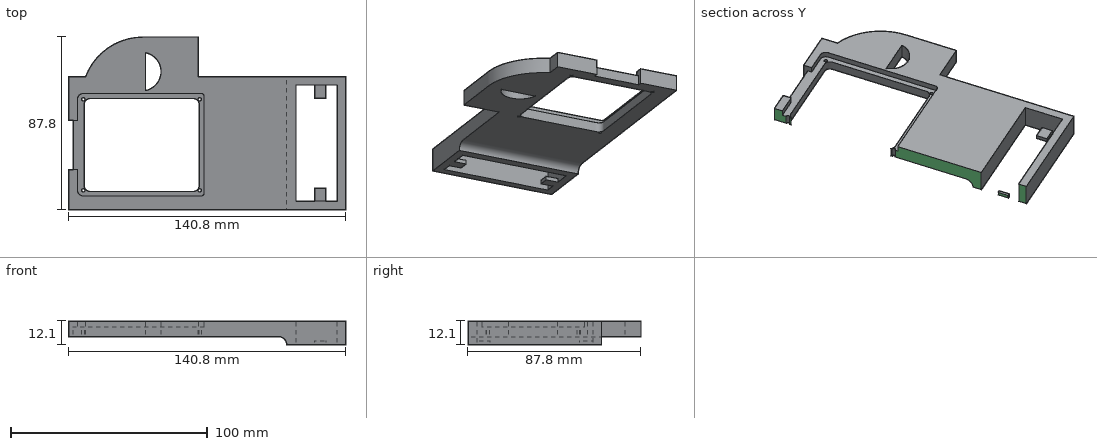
import cadquery as cq

length = 140.75
body_width = 67.7
overall_width = 87.8
height = 12.12

plate_thickness = 8.0
plate_bottom = height - plate_thickness
thick_end_length = 30.0
thick_end_x = length - thick_end_length
root_fillet_radius = plate_bottom

lobe_right_x = 65.9
shoulder_radius = 31.2
shoulder_center_x = 37.8
shoulder_center_y = overall_width - shoulder_radius

d_hole_diameter = 19.5
d_hole_center_x = 37.15
d_hole_center_y = 70.2
d_hole_flat_x = 39.15

recess_depth = 3.0
recess_floor = height - recess_depth
recess_x = (4.5, 68.9)
recess_y = (7.1, 59.1)
recess_left_radius = 3.0
recess_right_radius = 1.5
opening_x = (8.0, 66.3)
opening_y = (9.4, 56.5)
opening_radius = 3.0

notch_y = (20.5, 45.4)
notch_depth = 2.3

screw_x = (7.5, 66.6)
screw_y = (9.9, 56.1)
screw_diameter = 1.62

wall = 4.4
window_x = (115.6, length - wall)
window_y = (wall, body_width - wall)
tab_x = (124.9, 130.7)
tab_length = 6.7
tab_thickness = 2.0


def block(x_range, y_range, z_range):
    """Box spanning the given ranges."""
    size = [high - low for low, high in (x_range, y_range, z_range)]
    corner = (x_range[0], y_range[0], z_range[0])
    return cq.Workplane("XY").box(*size, centered=False).translate(corner)


def make_body():
    """Plate and thick end with a concave fillet between them, extruded along Y."""
    profile = (
        cq.Workplane("XZ")
        .moveTo(0, height)
        .lineTo(0, plate_bottom)
        .lineTo(thick_end_x - root_fillet_radius, plate_bottom)
        .radiusArc((thick_end_x, plate_bottom - root_fillet_radius), root_fillet_radius)
        .lineTo(length, 0)
        .lineTo(length, height)
        .close()
    )
    return profile.extrude(-body_width)


def make_lobe():
    """Side lobe: a slab trimmed on the left by a large shoulder cylinder."""
    lobe_y = (shoulder_center_y, overall_width)
    lobe_z = (plate_bottom, height)
    straight = block((shoulder_center_x, lobe_right_x), lobe_y, lobe_z)
    shoulder_x = (shoulder_center_x - shoulder_radius, shoulder_center_x)
    shoulder = (
        cq.Workplane("XY", origin=(shoulder_center_x, shoulder_center_y, plate_bottom))
        .circle(shoulder_radius)
        .extrude(plate_thickness)
        .intersect(block(shoulder_x, lobe_y, lobe_z))
    )
    return straight.union(shoulder)


def make_d_hole():
    """Cutter for the D-shaped hole: a cylinder kept to the right of its flat."""
    radius = d_hole_diameter / 2
    kept = block(
        (d_hole_flat_x, d_hole_center_x + radius),
        (d_hole_center_y - radius, d_hole_center_y + radius),
        (0, height),
    )
    cylinder = cq.Workplane("XY").center(d_hole_center_x, d_hole_center_y).circle(radius)
    return cylinder.extrude(height).intersect(kept)


def make_recess():
    """Cutter for the panel recess, its opening and the edge notch."""
    recess = (
        block(recess_x, recess_y, (recess_floor, height))
        .edges("|Z and <X")
        .fillet(recess_left_radius)
        .edges("|Z and >X")
        .fillet(recess_right_radius)
    )
    opening = block(opening_x, opening_y, (0, height)).edges("|Z").fillet(opening_radius)
    notch = block((0, notch_depth), notch_y, (0, height))
    entry = block((0, opening_x[0]), notch_y, (recess_floor, height))
    return recess.union(opening).union(notch).union(entry)


def make_screw_holes():
    """Cutter for the four screw holes through the recess floor."""
    points = [(x, y) for x in screw_x for y in screw_y]
    return cq.Workplane("XY").pushPoints(points).circle(screw_diameter / 2).extrude(recess_floor)


def make_tabs():
    """Two tabs reaching into the window, flush with the underside."""
    low_y, high_y = window_y
    front_tab = block(tab_x, (0, low_y + tab_length), (0, tab_thickness))
    back_tab = block(tab_x, (high_y - tab_length, body_width), (0, tab_thickness))
    return front_tab.union(back_tab)


result = (
    make_body()
    .union(make_lobe())
    .cut(make_d_hole())
    .cut(make_recess())
    .cut(make_screw_holes())
    .cut(block(window_x, window_y, (0, height)))
    .union(make_tabs())
)